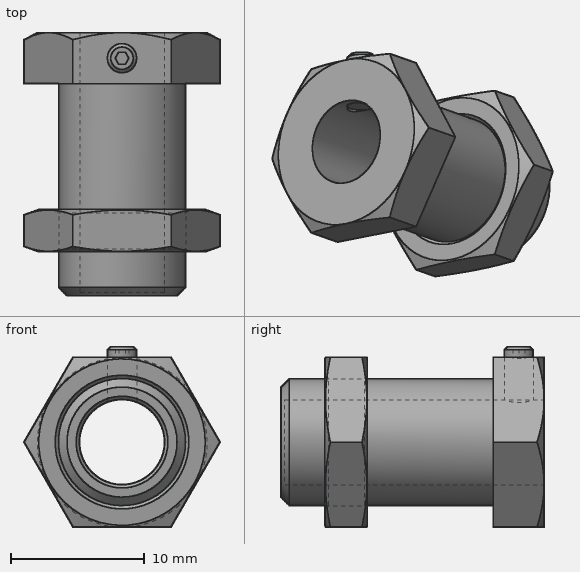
import cadquery as cq
import math

hexagon_sides = 6
across_flats = 12.7
across_corners = across_flats / math.cos(math.pi / hexagon_sides)

overall_length = 19.68
head_length = 3.81
head_face_diameter = across_flats
head_bevel_angle = 28.0
shank_diameter = 9.5
shank_chamfer = 0.635
bore_diameter = 6.35
bore_chamfer = 0.254

nut_thickness = 3.175
nut_setback = 3.29
nut_face_diameter = 12.45
nut_bevel_angle = 20.0
nut_hole_chamfer = 0.25

screw_diameter = 2.184
screw_protrusion = 0.79375
screw_chamfer = 0.254
socket_across_flats = 0.889
socket_across_corners = socket_across_flats / math.cos(math.pi / hexagon_sides)
socket_depth = 0.889

shank_length = overall_length - head_length
screw_y = shank_length + head_length / 2
screw_top = across_flats / 2 + screw_protrusion
screw_tip = bore_diameter / 2

smallest_circle = cq.selectors.RadiusNthSelector(0)


def cylinder_y(diameter, start, length):
    """Cylinder on the Y axis, from start towards +Y."""
    return cq.Workplane("XZ", origin=(0, start, 0)).circle(diameter / 2).extrude(-length)


def bevelled_hexagon(length, start, face_diameter, bevel_angle, bevel_front):
    """Hexagonal block along Y whose corners are turned back conically at +Y and, if asked, at -Y."""
    face_radius = face_diameter / 2
    corner_radius = across_corners / 2
    drop = (corner_radius - face_radius) * math.tan(math.radians(bevel_angle))
    end = start + length
    blank = cq.Workplane("XZ", origin=(0, start, 0)).polygon(hexagon_sides, across_corners).extrude(-length)

    profile = cq.Workplane("XY").moveTo(0, start)
    if bevel_front:
        profile = profile.lineTo(face_radius, start).lineTo(corner_radius, start + drop)
    else:
        profile = profile.lineTo(corner_radius, start)
    profile = profile.lineTo(corner_radius, end - drop).lineTo(face_radius, end).lineTo(0, end).close()
    turned_envelope = profile.revolve(360, (0, 0, 0), (0, 1, 0))
    return blank.intersect(turned_envelope)


def make_fitting():
    head = bevelled_hexagon(head_length, shank_length, head_face_diameter, head_bevel_angle, False)
    shank = cylinder_y(shank_diameter, 0, shank_length).faces("<Y").chamfer(shank_chamfer)
    bore = cylinder_y(bore_diameter, 0, overall_length)
    bored = head.union(shank).cut(bore)
    bored = bored.faces("<Y").edges(smallest_circle).chamfer(bore_chamfer)
    screw_hole = (
        cq.Workplane("XY", origin=(0, screw_y, 0)).circle(screw_diameter / 2).extrude(across_flats / 2)
    )
    return bored.cut(screw_hole)


def make_lock_nut():
    blank = bevelled_hexagon(nut_thickness, nut_setback, nut_face_diameter, nut_bevel_angle, True)
    hole = cylinder_y(shank_diameter, nut_setback, nut_thickness)
    nut = blank.cut(hole)
    return nut.faces("<Y or >Y").edges(smallest_circle).chamfer(nut_hole_chamfer)


def make_set_screw():
    length = screw_top - screw_tip
    body = cq.Workplane("XY", origin=(0, screw_y, screw_tip)).circle(screw_diameter / 2).extrude(length)
    body = body.faces(">Z").chamfer(screw_chamfer)
    socket = (
        cq.Workplane("XY", origin=(0, screw_y, screw_top))
        .polygon(hexagon_sides, socket_across_corners)
        .extrude(-socket_depth)
    )
    return body.cut(socket)


fitting = make_fitting()
lock_nut = make_lock_nut()
set_screw = make_set_screw()

result = cq.Compound.makeCompound([
    fitting.solids().val(),
    lock_nut.solids().val(),
    set_screw.solids().val(),
])